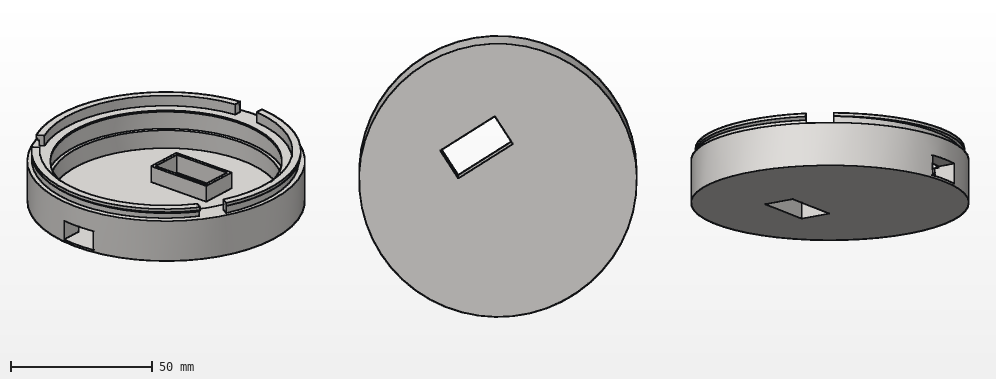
import cadquery as cq
import math

body_diameter = 98.4
body_height = 15.7
floor_thickness = 0.9
bore_diameter = 82.0

groove_diameter = 84.9
groove_bottom = 7.9
groove_top = 15.1

ring_height = 4.0
ring_outer_radius = 47.7
ring_inner_radius = 44.8
lip_thickness = 1.2
gap_width = 9.8
segment_count = 3
first_gap_angle = 90
mean_undercut = 0.6
undercut_shift = 0.6

frame_length = 25.3
frame_width = 14.2
frame_wall = 1.2
frame_top = 7.1
frame_center_y = 14.1

window_width = 13.5
window_top = 8.3

total_height = body_height + ring_height
segment_pitch = 360 / segment_count


def cylinder(radius, bottom, top):
    return cq.Workplane("XY").workplane(offset=bottom).circle(radius).extrude(top - bottom)


def block(length, width, bottom, top, center_y=0):
    return (
        cq.Workplane("XY")
        .workplane(offset=bottom)
        .center(0, center_y)
        .rect(length, width)
        .extrude(top - bottom)
    )


def make_body():
    body = cylinder(body_diameter / 2, 0, body_height)
    bore = cylinder(bore_diameter / 2, floor_thickness, body_height)
    groove = cylinder(groove_diameter / 2, groove_bottom, groove_top)
    return body.cut(bore).cut(groove)


def make_lip():
    """Solid disc with a straight rim and a 45 degree flare beneath it."""
    lip_bottom = total_height - lip_thickness
    flare_radius = ring_outer_radius - (lip_bottom - body_height)
    return (
        cq.Workplane("XZ")
        .moveTo(0, body_height)
        .lineTo(flare_radius, body_height)
        .lineTo(ring_outer_radius, lip_bottom)
        .lineTo(ring_outer_radius, total_height)
        .lineTo(0, total_height)
        .close()
        .revolve(360, (0, 0, 0), (0, 1, 0))
    )


def make_sector(start_angle):
    """Wedge between two neighbouring gaps, trimmed parallel to the gap centre lines."""
    half_pitch = math.radians(segment_pitch / 2)
    apex_distance = gap_width / 2 / math.sin(half_pitch)
    reach = body_diameter
    wedge = (
        cq.Workplane("XY")
        .workplane(offset=body_height)
        .moveTo(apex_distance, 0)
        .lineTo(apex_distance + reach * math.cos(half_pitch), -reach * math.sin(half_pitch))
        .lineTo(apex_distance + reach, 0)
        .lineTo(apex_distance + reach * math.cos(half_pitch), reach * math.sin(half_pitch))
        .close()
        .extrude(ring_height)
    )
    return wedge.rotate((0, 0, 0), (0, 0, 1), start_angle + segment_pitch / 2)


def make_segment(start_angle):
    """Hooked ring segment whose undercut deepens counterclockwise from start_angle."""
    shift_angle = math.radians(start_angle + segment_pitch / 2 - 90)
    neck = cylinder(ring_outer_radius - mean_undercut, body_height, total_height).translate(
        (undercut_shift * math.cos(shift_angle), undercut_shift * math.sin(shift_angle), 0)
    )
    hook = make_lip().union(neck).cut(cylinder(ring_inner_radius, body_height, total_height))
    return hook.intersect(make_sector(start_angle))


result = make_body()

for index in range(segment_count):
    result = result.union(make_segment(first_gap_angle + index * segment_pitch))

opening_length = frame_length - 2 * frame_wall
opening_width = frame_width - 2 * frame_wall
result = result.union(block(frame_length, frame_width, 0, frame_top, frame_center_y))
result = result.cut(block(opening_length, opening_width, 0, frame_top, frame_center_y))

window_depth = body_diameter / 4
window_center_y = -(body_diameter - window_depth) / 2
result = result.cut(block(window_width, window_depth, floor_thickness, window_top, window_center_y))